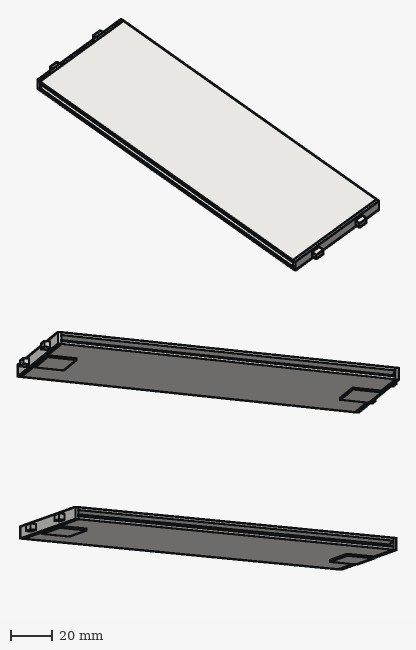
import cadquery as cq

overall_length = 182.0
width = 58.0
height = 6.0

tab_length = 3.0
tab_width = 5.0
tab_height = 3.0
tab_spacing = 30.0
cap_thickness = 1.6

groove_lip_height = 1.5
groove_floor = 0.5
groove_depth = 4.0

pad_length = 15.0
pad_width = 18.2
pad_height = 1.0

groove_opening = height - 2 * groove_lip_height
cap_outer_x = overall_length / 2 - tab_length
panel_half_length = cap_outer_x - cap_thickness
panel_length = 2 * panel_half_length


def make_panel():
    """Panel grooved along both long sides, with one pad under each end."""
    half_width = width / 2
    half_height = height / 2
    half_opening = groove_opening / 2
    half_floor = groove_floor / 2
    floor_y = half_width - groove_depth
    profile = [
        (-half_width, -half_height),
        (half_width, -half_height),
        (half_width, -half_opening),
        (floor_y, -half_floor),
        (floor_y, half_floor),
        (half_width, half_opening),
        (half_width, half_height),
        (-half_width, half_height),
        (-half_width, half_opening),
        (-floor_y, half_floor),
        (-floor_y, -half_floor),
        (-half_width, -half_opening),
    ]
    body = (
        cq.Workplane("YZ")
        .polyline(profile)
        .close()
        .extrude(panel_half_length, both=True)
    )
    pads = (
        cq.Workplane("XY")
        .workplane(offset=-half_height)
        .rarray(panel_length - pad_length, 1.8, 2, 1)
        .rect(pad_length, pad_width)
        .extrude(-pad_height)
    )
    return body.union(pads)


def make_end_cap(side):
    """Closing plate with two tabs; side is -1 for the -X end and +1 for the +X end."""
    plate = cq.Workplane("XY").box(cap_thickness, width, height)
    plate = plate.translate((side * (panel_half_length + cap_thickness / 2), 0, 0))
    tabs = (
        cq.Workplane("XY")
        .rarray(1.8, tab_spacing, 1, 2)
        .box(tab_length, tab_width, tab_height)
        .translate((side * (cap_outer_x + tab_length / 2), 0, 0))
    )
    return plate.union(tabs)


panel = make_panel()
end_caps = [make_end_cap(side) for side in (-1, 1)]

result = cq.Compound.makeCompound([panel.val(), *[cap.val() for cap in end_caps]])